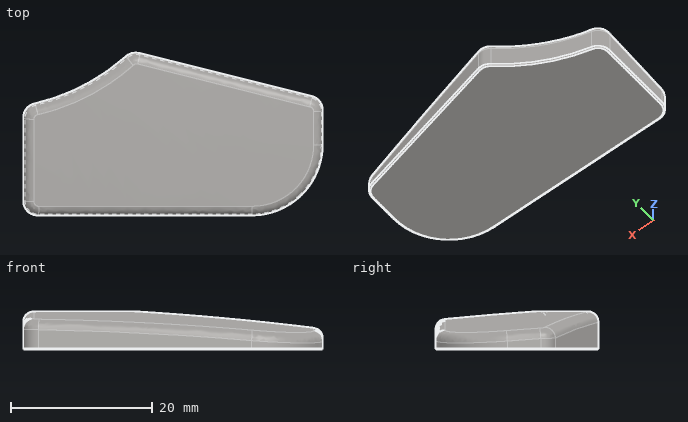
import cadquery as cq
import math

LENGTH = 42.4
HEIGHT = 5.48

CORNER_RADIUS = 4.25 / 2
NOSE_RADIUS = 10.125
REAR_CORNER_Y = 16.53
REAR_SLOPE = -0.25
SCOOP_RADIUS = 29.12
SCOOP_CENTER_X = -4.86
SCOOP_CENTER_Y = 44.26

RIM_RADIUS = 1.5
BASE_CHAMFER = 0.25

DOME_RADIUS = 435.0


def scoop_point(x):
    """Point of the concave scoop at a given X."""
    return x, SCOOP_CENTER_Y - math.sqrt(SCOOP_RADIUS**2 - (x - SCOOP_CENTER_X) ** 2)


def apex_point():
    """Sharp corner where the line of the rear edge meets the circle of the scoop."""
    tilt = math.atan(REAR_SLOPE)
    line_y = REAR_CORNER_Y + REAR_SLOPE * (SCOOP_CENTER_X - LENGTH)
    offset = (SCOOP_CENTER_Y - line_y) * math.cos(tilt)
    along = math.sqrt(SCOOP_RADIUS**2 - offset**2)
    x = SCOOP_CENTER_X + offset * math.sin(tilt) + along * math.cos(tilt)
    y = SCOOP_CENTER_Y - offset * math.cos(tilt) + along * math.sin(tilt)
    return x, y


def make_blank():
    """Upright prism of the plan outline, with its vertical corners rounded."""
    front_left = (0, 0)
    rear_right = (LENGTH, REAR_CORNER_Y)
    apex = apex_point()
    rear_left = scoop_point(0)
    scoop_middle = scoop_point(apex[0] / 2)

    blank = (
        cq.Workplane("XY")
        .moveTo(*front_left)
        .lineTo(LENGTH - NOSE_RADIUS, 0)
        .radiusArc((LENGTH, NOSE_RADIUS), -NOSE_RADIUS)
        .lineTo(*rear_right)
        .lineTo(*apex)
        .threePointArc(scoop_middle, rear_left)
        .close()
        .extrude(2 * HEIGHT)
    )
    for x, y in (front_left, rear_right, apex, rear_left):
        corner = cq.selectors.NearestToPointSelector((x, y, HEIGHT))
        blank = blank.edges("|Z").edges(corner).fillet(CORNER_RADIUS)
    return blank


def make_dome():
    """Sphere whose upper cap is the top face; it reaches HEIGHT at the inner rim of the scoop."""
    rim_distance = SCOOP_RADIUS + RIM_RADIUS
    center_z = HEIGHT - math.sqrt(DOME_RADIUS**2 - rim_distance**2)
    center = (SCOOP_CENTER_X, SCOOP_CENTER_Y, center_z)
    return cq.Workplane("XY").sphere(DOME_RADIUS).translate(center)


def finish_edges(body):
    """Chamfer round the base and rounded rim round the domed top."""
    body = body.faces("<Z").edges().chamfer(BASE_CHAMFER)
    over_top = (LENGTH / 2, NOSE_RADIUS, HEIGHT)
    top_face = cq.selectors.NearestToPointSelector(over_top)
    return body.faces(top_face).edges().fillet(RIM_RADIUS)


result = finish_edges(make_blank().intersect(make_dome()))